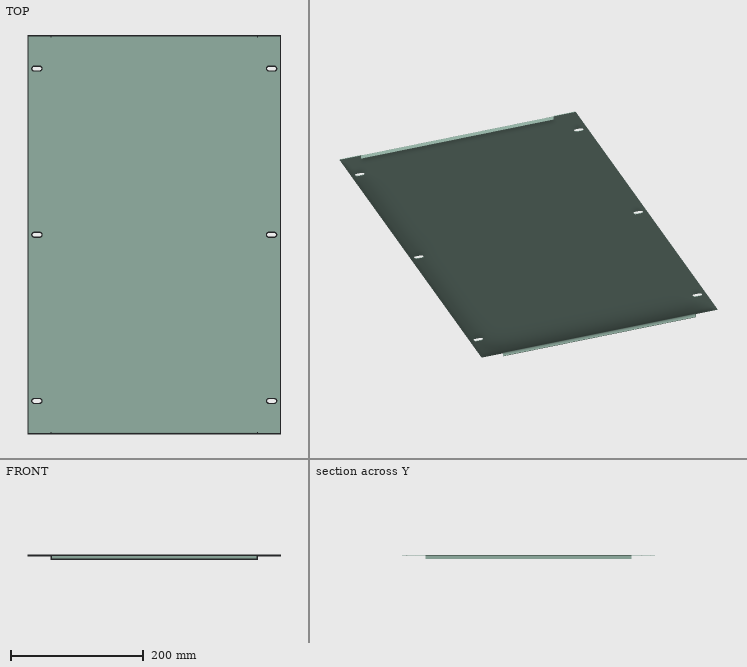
import cadquery as cq

panel_width = 380.0
panel_length = 599.0
sheet_thickness = 1.0

flange_length = 310.0
flange_height = 6.5
bend_inner_radius = 1.0
bend_outer_radius = bend_inner_radius + sheet_thickness

slot_length = 15.0
slot_width = 7.0
slot_spacing_x = 353.0
slot_pitch_y = 250.0
slot_columns = 2
slot_rows = 3

half_length = panel_length / 2
bend_start = half_length - bend_outer_radius
lip_inner_face = half_length - sheet_thickness


def make_plate():
    """Flat rectangular sheet with its top face at Z = 0."""
    return cq.Workplane("XY").rect(panel_width, panel_length).extrude(-sheet_thickness)


def make_bend_clearance(side):
    """Block that removes the flat sheet where the bend at one flange takes its place."""
    return (
        cq.Workplane("XY")
        .center(0, side * (half_length - bend_outer_radius / 2))
        .rect(flange_length, bend_outer_radius)
        .extrude(-sheet_thickness)
    )


def make_flange(side):
    """Rounded bend and downturned lip on the +Y (side = 1) or -Y (side = -1) edge."""
    profile = (
        cq.Workplane("YZ")
        .moveTo(side * bend_start, 0)
        .radiusArc((side * half_length, -bend_outer_radius), side * bend_outer_radius)
        .lineTo(side * half_length, -flange_height)
        .lineTo(side * lip_inner_face, -flange_height)
        .lineTo(side * lip_inner_face, -bend_outer_radius)
        .radiusArc((side * bend_start, -sheet_thickness), -side * bend_inner_radius)
        .close()
    )
    return profile.extrude(flange_length / 2, both=True)


def make_slots():
    """Cutters for the two columns of mounting slots."""
    return (
        cq.Workplane("XY")
        .rarray(slot_spacing_x, slot_pitch_y, slot_columns, slot_rows)
        .slot2D(slot_length, slot_width)
        .extrude(-sheet_thickness)
    )


result = make_plate()
for side in (1, -1):
    result = result.cut(make_bend_clearance(side)).union(make_flange(side))
result = result.cut(make_slots())